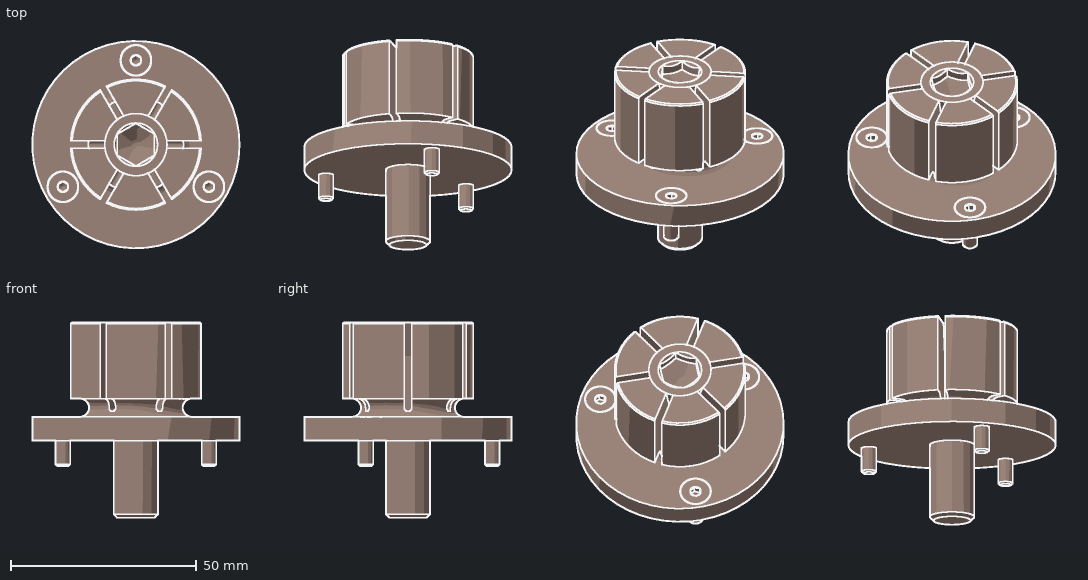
import cadquery as cq
import math


flange_diameter = 56.0
flange_thickness = 6.4
housing_height = 31.9
collar_diameter = 35.3
collar_edge_chamfer = 0.4
neck_diameter = 25.4
groove_radius = 2.45
slot_count = 6
slot_width = 2.0
slot_bottom_z = 7.85

bolt_head_diameter = 16.8
bolt_head_height = 9.1
bolt_diameter = 12.0
bolt_reach_below_flange = 20.9
bolt_tip_chamfer = 1.0
bolt_socket_width = 10.0
bolt_socket_mouth_diameter = 11.7
bolt_socket_depth = 2.7

screw_count = 3
screw_circle_radius = 22.75
screw_first_angle = 90.0
screw_diameter = 4.0
screw_reach_below_flange = 6.9
screw_tip_chamfer = 0.5
screw_head_diameter = 8.1
countersink_diameter = 8.4
screw_socket_width = 2.5
screw_socket_mouth_diameter = 2.95
screw_socket_depth = 2.0

drill_point_half_angle = 60.0


def revolve_profile(profile):
    """Turn a closed (radius, height) profile fully around the Z axis."""
    return profile.close().revolve(360, (0, 0, 0), (0, 1, 0))


def cone_frustum(bottom_radius, top_radius, bottom_z, top_z):
    """Cone or frustum on the Z axis; either radius may be zero."""
    return cq.Workplane(
        cq.Solid.makeCone(bottom_radius, top_radius, top_z - bottom_z, pnt=cq.Vector(0, 0, bottom_z))
    )


def hex_socket(width, mouth_diameter, depth, top_z):
    """Cutter for a hex socket with a 45 degree mouth chamfer and a drill point below the walls."""
    corner_radius = width / math.sqrt(3)
    mouth_radius = mouth_diameter / 2
    floor_z = top_z - depth
    point_length = corner_radius / math.tan(math.radians(drill_point_half_angle))
    bore = (
        cq.Workplane("XY")
        .workplane(offset=floor_z - point_length)
        .transformed(rotate=(0, 0, 90))
        .polygon(6, 2 * corner_radius)
        .extrude(depth + point_length)
    )
    envelope = revolve_profile(
        cq.Workplane("XZ")
        .moveTo(0, floor_z - point_length)
        .lineTo(corner_radius, floor_z)
        .lineTo(corner_radius, top_z)
        .lineTo(0, top_z)
    )
    mouth = cone_frustum(0, mouth_radius, top_z - mouth_radius, top_z)
    chamfer_band = (
        cq.Workplane("XY").workplane(offset=top_z).circle(mouth_radius).extrude(-(mouth_radius - width / 2))
    )
    return bore.intersect(envelope).union(mouth.intersect(chamfer_band))


def screw_positions():
    """Centres of the mounting screws on the flange."""
    angles = [math.radians(screw_first_angle + i * 360 / screw_count) for i in range(screw_count)]
    return [(screw_circle_radius * math.cos(a), screw_circle_radius * math.sin(a)) for a in angles]


def housing_blank():
    """Flange, neck and collar as one turned shape with a half-round groove around the neck."""
    groove_edge_radius = neck_diameter / 2 + groove_radius
    groove_mid_z = flange_thickness + groove_radius
    groove_top_z = groove_mid_z + groove_radius
    collar_radius = collar_diameter / 2
    return revolve_profile(
        cq.Workplane("XZ")
        .lineTo(flange_diameter / 2, 0)
        .lineTo(flange_diameter / 2, flange_thickness)
        .lineTo(groove_edge_radius, flange_thickness)
        .threePointArc((neck_diameter / 2, groove_mid_z), (groove_edge_radius, groove_top_z))
        .lineTo(collar_radius, groove_top_z)
        .lineTo(collar_radius, housing_height - collar_edge_chamfer)
        .lineTo(collar_radius - collar_edge_chamfer, housing_height)
        .lineTo(0, housing_height)
    )


def clamp_slot(angle):
    """Round-bottomed radial slot from the axis out through the collar."""
    half_width = slot_width / 2
    shoulder_z = slot_bottom_z + half_width
    return (
        cq.Workplane("YZ")
        .moveTo(half_width, housing_height)
        .lineTo(half_width, shoulder_z)
        .threePointArc((0, slot_bottom_z), (-half_width, shoulder_z))
        .lineTo(-half_width, housing_height)
        .close()
        .extrude(collar_diameter)
        .rotate((0, 0, 0), (0, 0, 1), angle)
    )


def make_housing():
    """Grooved housing with its taper bore, clamp slots and countersunk screw holes."""
    housing = housing_blank()
    for i in range(slot_count):
        housing = housing.cut(clamp_slot(i * 360 / slot_count))

    bore = cq.Workplane("XY").circle(bolt_diameter / 2).extrude(housing_height)
    taper = cone_frustum(
        bolt_diameter / 2, bolt_head_diameter / 2, housing_height - bolt_head_height, housing_height
    )
    housing = housing.cut(bore).cut(taper)

    screw_hole = cq.Workplane("XY").circle(screw_diameter / 2).extrude(flange_thickness)
    countersink_radius = countersink_diameter / 2
    countersink = cone_frustum(0, countersink_radius, flange_thickness - countersink_radius, flange_thickness)
    screw_hole = screw_hole.union(countersink)
    for x, y in screw_positions():
        housing = housing.cut(screw_hole.translate((x, y, 0)))
    return housing


def make_expander_bolt():
    """Bolt whose tapered head sits flush in the collar and spreads it."""
    shank_radius = bolt_diameter / 2
    tip_z = -bolt_reach_below_flange
    bolt = revolve_profile(
        cq.Workplane("XZ")
        .moveTo(0, tip_z)
        .lineTo(shank_radius - bolt_tip_chamfer, tip_z)
        .lineTo(shank_radius, tip_z + bolt_tip_chamfer)
        .lineTo(shank_radius, housing_height - bolt_head_height)
        .lineTo(bolt_head_diameter / 2, housing_height)
        .lineTo(0, housing_height)
    )
    return bolt.cut(
        hex_socket(bolt_socket_width, bolt_socket_mouth_diameter, bolt_socket_depth, housing_height)
    )


def make_mounting_screw(x, y):
    """Flat-head screw flush with the flange, with a thin gap around its head in the countersink."""
    head_radius = screw_head_diameter / 2
    shank_radius = screw_diameter / 2
    head_top_z = flange_thickness
    tip_z = -screw_reach_below_flange
    screw = revolve_profile(
        cq.Workplane("XZ")
        .moveTo(0, tip_z)
        .lineTo(shank_radius - screw_tip_chamfer, tip_z)
        .lineTo(shank_radius, tip_z + screw_tip_chamfer)
        .lineTo(shank_radius, head_top_z - (head_radius - shank_radius))
        .lineTo(head_radius, head_top_z)
        .lineTo(0, head_top_z)
    )
    socket = hex_socket(screw_socket_width, screw_socket_mouth_diameter, screw_socket_depth, head_top_z)
    return screw.cut(socket).translate((x, y, 0))


housing = make_housing()
expander_bolt = make_expander_bolt()
mounting_screws = [make_mounting_screw(x, y) for x, y in screw_positions()]

result = cq.Compound.makeCompound(
    [housing.val(), expander_bolt.val(), *[screw.val() for screw in mounting_screws]]
)